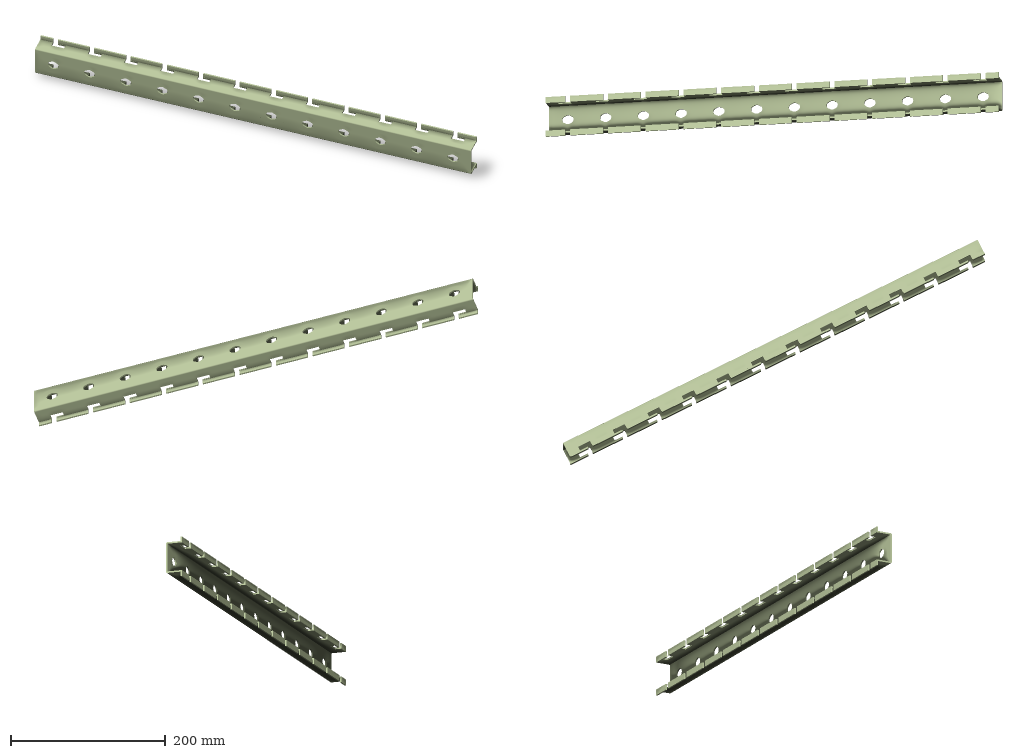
import cadquery as cq

length = 600.0
depth = 22.0
height = 53.0

thickness = 2.05
lip_height = 5.9
bend_radius = 2.05
channel_height = height - 2 * lip_height

station_count = 12
pitch = length / station_count

hole_length = 15.0
hole_slot_width = 9.5
hole_diameter = 12.0

slot_length = 17.5
neck_width = 6.5
slot_front = 14.0
slot_back = 20.0

station_centers = [(i + 0.5) * pitch for i in range(station_count)]


def make_section():
    """Hat profile extruded along X, web at the front and lips at the back."""
    outer_top = channel_height / 2
    inner_top = outer_top - thickness
    lip_top = height / 2
    lip_front = depth - thickness
    upper_half = [
        (thickness, inner_top),
        (depth, inner_top),
        (depth, lip_top),
        (lip_front, lip_top),
        (lip_front, outer_top),
        (0, outer_top),
    ]
    lower_half = [(y, -z) for y, z in reversed(upper_half)]
    rail = cq.Workplane("YZ").polyline(upper_half + lower_half).close().extrude(length)
    return rail.edges("|X and <Y").fillet(bend_radius)


def make_web_holes():
    """Cutters through the web: round hole and slot along X sharing one centre."""
    centers = cq.Workplane("XZ").pushPoints([(x, 0) for x in station_centers])
    cutter_depth = -2 * thickness
    round_holes = centers.circle(hole_diameter / 2).extrude(cutter_depth)
    slots = centers.slot2D(hole_length, hole_slot_width).extrude(cutter_depth)
    return round_holes.union(slots)


def make_hooked_slots():
    """L-shaped cutters through both flanges and both lips."""
    cutters = cq.Workplane("XY").workplane(offset=-height / 2)
    for center in station_centers:
        left = center - hole_length / 2
        outline = [
            (left, slot_front),
            (left + slot_length, slot_front),
            (left + slot_length, slot_back),
            (left + neck_width, slot_back),
            (left + neck_width, depth),
            (left, depth),
        ]
        cutters = cutters.polyline(outline).close()
    return cutters.extrude(height)


result = make_section().cut(make_web_holes()).cut(make_hooked_slots())